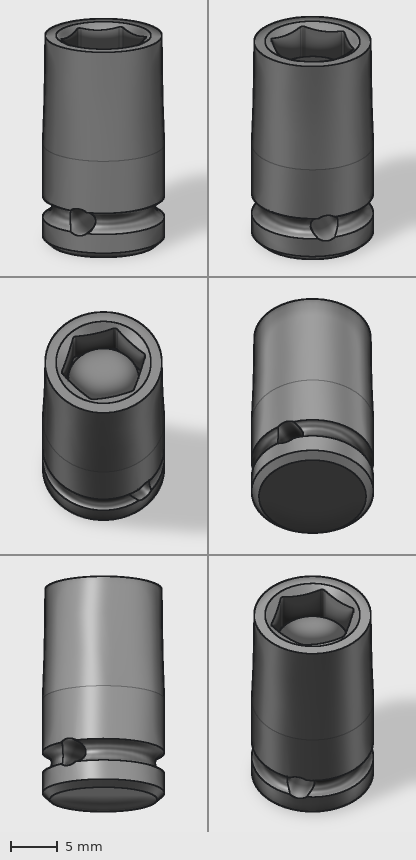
import cadquery as cq
import math

height = 23.0
body_radius = 6.498
top_radius = 6.23
taper_start = 10.97
base_chamfer_height = 0.71
base_chamfer_width = 0.78

groove_height = 3.98
groove_floor_radius = 5.532
groove_arc_radius = 1.2
cross_hole_diameter = 3.0

hex_across_flats = 8.0
hex_corner_fillet = 0.45
mouth_radius = 5.05
mouth_slope = math.radians(30)
hex_floor = 18.4

magnet_radius = 3.77
magnet_top = 19.45
magnet_length = 4.0
magnet_bottom = magnet_top - magnet_length


def make_outer_body():
    """Revolved shell with a chamfered base, round groove and concave taper."""
    groove_center_radius = groove_floor_radius + groove_arc_radius
    groove_half_width = math.sqrt(groove_arc_radius**2 - (groove_center_radius - body_radius)**2)

    taper_height = height - taper_start
    taper_inset = body_radius - top_radius
    taper_arc_radius = (taper_height**2 + taper_inset**2) / (2 * taper_inset)
    taper_mid_height = height - taper_height / 2
    taper_mid_radius = top_radius + taper_arc_radius - math.sqrt(taper_arc_radius**2 - (taper_height / 2)**2)

    profile = (
        cq.Workplane("XZ")
        .lineTo(body_radius - base_chamfer_width, 0)
        .lineTo(body_radius, base_chamfer_height)
        .lineTo(body_radius, groove_height - groove_half_width)
        .threePointArc((groove_floor_radius, groove_height), (body_radius, groove_height + groove_half_width))
        .lineTo(body_radius, taper_start)
        .threePointArc((taper_mid_radius, taper_mid_height), (top_radius, height))
        .lineTo(0, height)
        .close()
    )
    return profile.revolve(360, (0, 0, 0), (0, 1, 0))


def make_hex_recess():
    """Hexagonal prism with rounded corners, two of them on the Y axis."""
    across_corners = hex_across_flats / math.cos(math.pi / 6)
    return (
        cq.Workplane("XY", origin=(0, 0, hex_floor))
        .polygon(6, across_corners)
        .extrude(height - hex_floor)
        .edges("|Z")
        .fillet(hex_corner_fillet)
        .rotate((0, 0, 0), (0, 0, 1), 30)
    )


def make_mouth_cone():
    """Conical lead-in that ends where it reaches the hexagon flats."""
    flat_radius = hex_across_flats / 2
    cone_depth = (mouth_radius - flat_radius) * math.tan(mouth_slope)
    return (
        cq.Workplane("XZ")
        .moveTo(0, height)
        .lineTo(mouth_radius, height)
        .lineTo(flat_radius, height - cone_depth)
        .lineTo(0, height - cone_depth)
        .close()
        .revolve(360, (0, 0, 0), (0, 1, 0))
    )


def make_cross_hole():
    """Round hole along Y, through both walls."""
    return (
        cq.Workplane("XZ", origin=(0, 0, groove_height))
        .circle(cross_hole_diameter / 2)
        .extrude(body_radius, both=True)
    )


def make_magnet():
    """Plain cylinder, also the shape of its seat in the socket."""
    return cq.Workplane("XY", origin=(0, 0, magnet_bottom)).circle(magnet_radius).extrude(magnet_length)


def make_socket():
    return (
        make_outer_body()
        .cut(make_hex_recess())
        .cut(make_mouth_cone())
        .cut(make_cross_hole())
        .cut(make_magnet())
    )


socket = make_socket()
magnet = make_magnet()

result = cq.Compound.makeCompound([socket.solids().val(), magnet.val()])